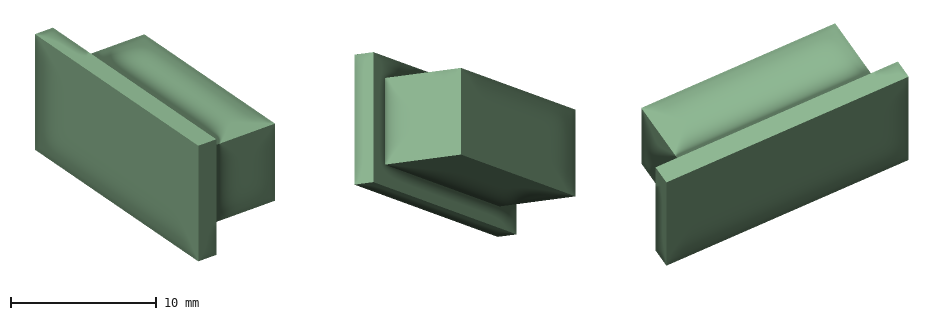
import cadquery as cq

plate_length = 19.05
plate_thickness = 1.52
plate_height = 9.15

block_length = 15.24
block_depth = 6.1
block_height = 6.1
right_margin = 1.52
block_center_x = plate_length / 2 - right_margin - block_length / 2

plate = cq.Workplane("XY").box(
    plate_length, plate_thickness, plate_height, centered=(True, False, True)
)

block = (
    cq.Workplane("XY")
    .box(block_length, block_depth, block_height, centered=(True, False, True))
    .translate((block_center_x, plate_thickness, 0))
)

result = plate.union(block)